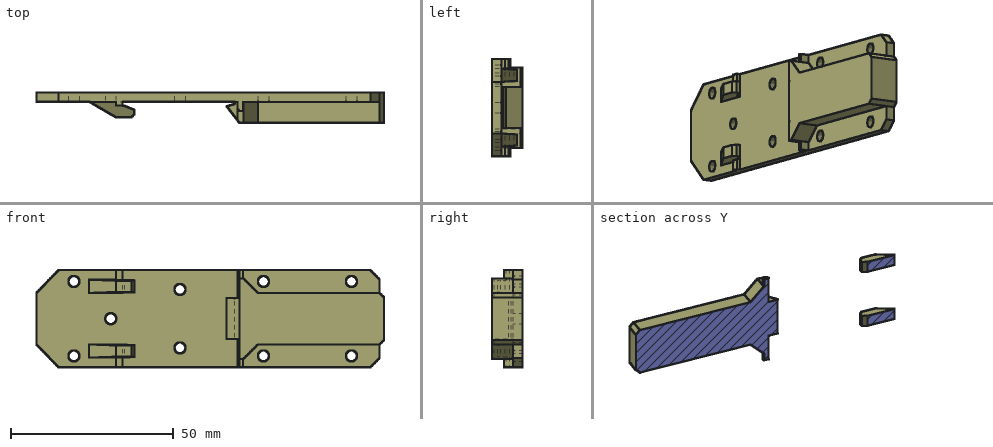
import cadquery as cq

length = 107.0
width = 30.0
plate_thickness = 2.9
half_width = width / 2

plate_end = 105.7
nose_length = 6.9
nose_half_width = 7.9
tail_chamfer = 2.9

hole_diameter = 3.3
corner_hole_columns = [11.6, 69.9, 97.0]
corner_hole_offset = 11.5
inner_hole_x = 44.2
inner_hole_offset = 9.0
center_hole_x = 22.9

body_height = 6.5
body_start = 62.0
body_front_half_width = 12.4
body_half_width = 7.9
body_taper_start = 63.7
body_taper_end = body_taper_start + body_front_half_width - body_half_width
body_end_chamfer = 1.4
wall_end = 63.6
wall_height = 2.9
bevel_length = 0.5
bevel_depth = 0.7

catch_width = 12.6
catch_tip_x = 58.6
catch_tip_height = 1.4
catch_root_x = 61.0
catch_root_height = 0.6

hook_spacing = 19.9
hook_root_width = 4.1
hook_draft = 0.3
hook_start = 16.3
hook_flat_start = 24.5
hook_end = 30.2
hook_height = 4.8
hook_nose_bevel = 1.0
hook_nose_base = 2.5
hook_slope_start = 27.1
rib_end = 26.5
rib_height = 1.2


def extrude_outward(points, height):
    """Extrude an (x, z) outline from the plate face toward -Y."""
    return cq.Workplane("XZ").polyline(points).close().extrude(height)


def extrude_across(points, span):
    """Extrude an (x, height) side profile symmetrically across Z."""
    side_points = [(x, -height) for x, height in points]
    return cq.Workplane("XY").polyline(side_points).close().extrude(span / 2, both=True)


def symmetric(upper_points):
    """Complete an upper half outline with its mirror image below Z = 0."""
    return upper_points + [(x, -z) for x, z in reversed(upper_points)]


def make_plate():
    outline = symmetric([
        (0, nose_half_width),
        (nose_length, half_width),
        (plate_end - tail_chamfer, half_width),
        (plate_end, half_width - tail_chamfer),
    ])
    return extrude_outward(outline, -plate_thickness)


def beveled_block(outline, height):
    """Extrude an outline and bevel the outer edge of its -X face."""
    block = extrude_outward(outline, height)
    bevel = extrude_across([
        (body_start, height - bevel_depth),
        (body_start + bevel_length, height),
        (body_start, height),
    ], width)
    return block.cut(bevel)


def make_body():
    tip = [
        (length - body_end_chamfer, body_half_width),
        (length, body_half_width - body_end_chamfer),
    ]
    outline = symmetric([
        (body_start, body_front_half_width),
        (body_taper_start, body_front_half_width),
        (body_taper_end, body_half_width),
    ] + tip)
    body = beveled_block(outline, body_height)
    tongue = extrude_outward(symmetric([(body_taper_end, body_half_width)] + tip), -plate_thickness)
    return body.union(tongue)


def make_wall():
    outline = symmetric([(body_start, half_width), (wall_end, half_width)])
    return beveled_block(outline, wall_height)


def make_catch():
    profile = [
        (catch_root_x, 0),
        (catch_root_x, catch_root_height),
        (catch_tip_x, catch_tip_height),
        (body_start + bevel_length, body_height),
        (body_start + bevel_length, 0),
    ]
    return extrude_across(profile, catch_width)


def make_hook(center_z):
    profile = [
        (hook_start, 0),
        (hook_flat_start, hook_height),
        (hook_end - hook_nose_bevel, hook_height),
        (hook_end, hook_height - hook_nose_bevel),
        (hook_end, hook_nose_base),
        (hook_slope_start, rib_height),
        (rib_end, rib_height),
        (rib_end, 0),
    ]
    root_half = hook_root_width / 2
    top_half = root_half - hook_draft
    envelope = (
        cq.Workplane("YZ")
        .polyline([(0, root_half), (-hook_height, top_half), (-hook_height, -top_half), (0, -root_half)])
        .close()
        .extrude(length)
    )
    return extrude_across(profile, hook_root_width).intersect(envelope).translate((0, 0, center_z))


def make_rib(side):
    inner = side * hook_spacing / 2
    outer = side * half_width
    return extrude_outward(
        [(hook_flat_start, inner), (rib_end, inner), (rib_end, outer), (hook_flat_start, outer)],
        rib_height,
    )


result = make_plate().union(make_body()).union(make_wall()).union(make_catch())
for side in (-1, 1):
    result = result.union(make_hook(side * hook_spacing / 2)).union(make_rib(side))

hole_points = [(center_hole_x, 0)]
for side in (-1, 1):
    hole_points += [(x, side * corner_hole_offset) for x in corner_hole_columns]
    hole_points.append((inner_hole_x, side * inner_hole_offset))
holes = cq.Workplane("XZ").pushPoints(hole_points).circle(hole_diameter / 2).extrude(-plate_thickness)
result = result.cut(holes)